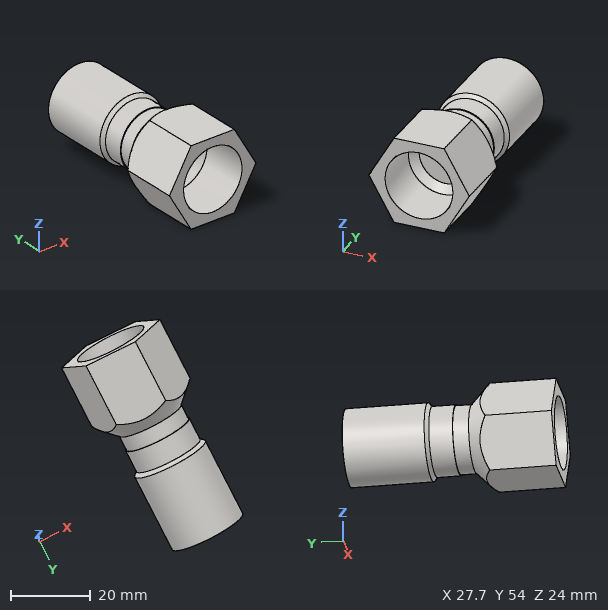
import cadquery as cq
import math

total_length = 54.0
hex_across_flats = 24.0
hex_across_corners = hex_across_flats / math.cos(math.pi / 6)
neck_radius = 17.5 / 2
collar_radius = 18.0 / 2
sleeve_radius = 20.0 / 2
nut_end = 22.0
collar_start = 26.05
sleeve_start = 32.1
bore_radius = 18.65 / 2
bore_floor_radius = 14.5 / 2
bore_depth = 16.2

corner_radius = hex_across_corners / 2
shoulder_start = nut_end - (corner_radius - neck_radius)
sleeve_full = sleeve_start + (sleeve_radius - collar_radius)
seat_start = bore_depth - (bore_radius - bore_floor_radius)


def revolve_profile(points):
    """Revolve a (radius, Y) outline around the Y axis."""
    return cq.Workplane("XY").polyline(points).close().revolve(360, (0, 0, 0), (0, 1, 0))


def make_nut():
    """Hexagon with corners on the X axis and a conical shoulder."""
    hexagon = (
        cq.Workplane("XZ")
        .polygon(6, hex_across_corners)
        .extrude(-nut_end)
    )
    shoulder_envelope = revolve_profile([
        (0, 0),
        (corner_radius, 0),
        (corner_radius, shoulder_start),
        (neck_radius, nut_end),
        (0, nut_end),
    ])
    return hexagon.intersect(shoulder_envelope)


def make_shank():
    """Neck, collar and sleeve behind the nut."""
    return revolve_profile([
        (0, bore_depth),
        (neck_radius, bore_depth),
        (neck_radius, collar_start),
        (collar_radius, collar_start),
        (collar_radius, sleeve_start),
        (sleeve_radius, sleeve_full),
        (sleeve_radius, total_length),
        (0, total_length),
    ])


def make_bore():
    """Blind bore with a conical seat and a flat floor."""
    return revolve_profile([
        (0, 0),
        (bore_radius, 0),
        (bore_radius, seat_start),
        (bore_floor_radius, bore_depth),
        (0, bore_depth),
    ])


result = make_nut().union(make_shank()).cut(make_bore())